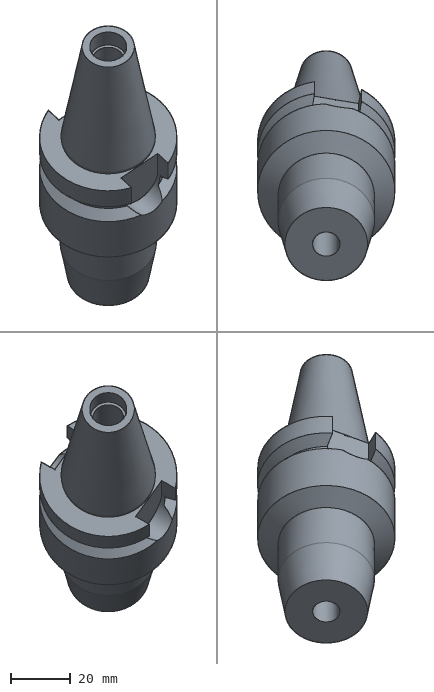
import cadquery as cq

total_height = 123.4
nose_taper_top = 16.7
neck_top = 34.9
body_bottom = 38.3
body_top = 57.5
groove_bottom = 59.7
groove_top = 63.2
flange_bottom = 65.6
flange_top = 74.3
shank_taper_bottom = 75.0

nose_radius = 13.8
neck_radius = 16.2
body_radius = 23.01
groove_radius = 19.1
shank_base_radius = 15.8
shank_tip_radius = 8.8

entry_radius = 6.2
entry_depth = 7.0
seat_radius = 5.2
through_radius = 4.6
seat_depth = 24.7

slot_width = 16.0
slot_bottom = 56.0
slot_floor_offset = 16.2


def turned_body():
    """Revolve the outer half profile about the Z axis."""
    outline = (
        cq.Workplane("XZ")
        .moveTo(0, 0)
        .lineTo(nose_radius, 0)
        .lineTo(neck_radius, nose_taper_top)
        .lineTo(neck_radius, neck_top)
        .lineTo(body_radius, body_bottom)
        .lineTo(body_radius, body_top)
        .lineTo(groove_radius, groove_bottom)
        .lineTo(groove_radius, groove_top)
        .lineTo(body_radius, flange_bottom)
        .lineTo(body_radius, flange_top)
        .lineTo(shank_base_radius, flange_top)
        .lineTo(shank_base_radius, shank_taper_bottom)
        .lineTo(shank_tip_radius, total_height)
        .lineTo(0, total_height)
        .close()
    )
    return outline.revolve(360, (0, 0, 0), (0, 1, 0))


def stepped_bore():
    """Revolve the bore profile: through hole, seat and entry counterbore."""
    entry_floor = total_height - entry_depth
    return (
        cq.Workplane("XZ")
        .moveTo(0, 0)
        .lineTo(through_radius, 0)
        .lineTo(through_radius, total_height - seat_depth)
        .lineTo(seat_radius, total_height - seat_depth)
        .lineTo(seat_radius, entry_floor)
        .lineTo(entry_radius, entry_floor)
        .lineTo(entry_radius, total_height)
        .lineTo(0, total_height)
        .close()
        .revolve(360, (0, 0, 0), (0, 1, 0))
    )


def drive_slot(side):
    """Round-bottomed slot cut inward from one side (-1 or +1 along X)."""
    half_width = slot_width / 2
    arc_center = slot_bottom + half_width
    return (
        cq.Workplane("YZ", origin=(side * slot_floor_offset, 0, 0))
        .moveTo(-half_width, flange_top)
        .lineTo(-half_width, arc_center)
        .threePointArc((0, slot_bottom), (half_width, arc_center))
        .lineTo(half_width, flange_top)
        .close()
        .extrude(side * body_radius)
    )


result = turned_body().cut(stepped_bore())
for slot_side in (-1, 1):
    result = result.cut(drive_slot(slot_side))